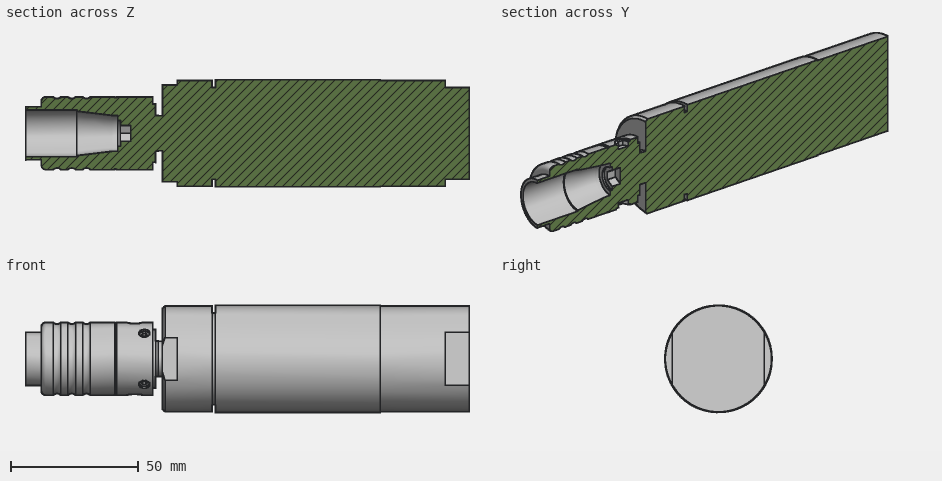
import cadquery as cq
import math

SLEEVE_START = 6.0
RIB_ZONE_END = 25.3
JOINT_START = 34.8
JOINT_FLOOR_WIDTH = 0.5
JOINT_BEVEL = 0.3
SLEEVE_END = 49.75
SHOULDER_END = 50.8
NECK_STEP = 51.8
HEAD_START = 53.5
HEAD_END = 72.9
BODY_START = 74.2
BODY_END = 138.7
TOTAL_LENGTH = 173.5

NOSE_DIAMETER = 21.0
SLEEVE_DIAMETER = 28.6
RIB_GROOVE_DIAMETER = 27.3
SHOULDER_DIAMETER = 23.0
NECK_FRONT_DIAMETER = 14.0
NECK_REAR_DIAMETER = 13.9
HEAD_DIAMETER = 41.5
TAIL_DIAMETER = 41.5
UNDERCUT_DIAMETER = 36.0
BODY_DIAMETER = 42.0

SLEEVE_ROUND = 2.0
HEAD_CHAMFER = 1.0

CUT_CLEARANCE = 1.0

RIB_GROOVE_COUNT = 3
RIB_GROOVE_WIDTH = 3.05
RIB_GROOVE_PITCH = 5.75

HEAD_FLAT_WIDTH = 38.0
HEAD_FLAT_LENGTH = 5.7
TAIL_FLAT_WIDTH = 36.0
TAIL_FLAT_LENGTH = 9.4

BORE_MOUTH_DIAMETER = 18.2
BORE_FLOOR_DIAMETER = 13.9
BORE_TAPER_DIAMETER = 17.3
BORE_STRAIGHT_LENGTH = 20.0
BORE_TAPER_END = 34.0
BORE_DEPTH = 36.0
RECESS_DIAMETER = 10.0
RECESS_DEPTH = 1.0
SOCKET_ACROSS_FLATS = 6.0
SOCKET_DEPTH = 4.0
SOCKET_TURN = 30

SET_SCREW_X = 46.4
SET_SCREW_DIAMETER = 4.2
SET_SCREW_DEPTH = 1.2
SET_SCREW_SOCKET_ACROSS_FLATS = 2.0
SET_SCREW_SOCKET_DEPTH = 1.5
SET_SCREW_ANGLES = (45, 135, 225, 315)

CLAMP_SCREW_X = 42.6
CLAMP_SCREW_DIAMETER = 6.8
CLAMP_SCREW_DEPTH = 0.5
CLAMP_SOCKET_ACROSS_FLATS = 4.0
CLAMP_SOCKET_DEPTH = 2.0
CLAMP_SCREW_ANGLES = (0, 180)


def cylinder(start, end, diameter):
    """Round section on the X axis between two stations."""
    return cq.Workplane("YZ").workplane(offset=start).circle(diameter / 2).extrude(end - start)


def hexagon_corners(across_flats):
    """Diameter of the circle through the corners of a hexagon."""
    return across_flats / math.cos(math.pi / 6)


def turned_body():
    """All round sections, from the nose tube to the tail."""
    sleeve = cylinder(SLEEVE_START, SLEEVE_END, SLEEVE_DIAMETER).faces("<X").edges().fillet(SLEEVE_ROUND)
    head = cylinder(HEAD_START, HEAD_END, HEAD_DIAMETER).faces("<X").edges().chamfer(HEAD_CHAMFER)
    return (
        cylinder(0, SLEEVE_START, NOSE_DIAMETER)
        .union(sleeve)
        .union(cylinder(SLEEVE_END, SHOULDER_END, SHOULDER_DIAMETER))
        .union(cylinder(SHOULDER_END, NECK_STEP, NECK_FRONT_DIAMETER))
        .union(cylinder(NECK_STEP, HEAD_START, NECK_REAR_DIAMETER))
        .union(head)
        .union(cylinder(HEAD_END, BODY_START, UNDERCUT_DIAMETER))
        .union(cylinder(BODY_START, BODY_END, BODY_DIAMETER))
        .union(cylinder(BODY_END, TOTAL_LENGTH, TAIL_DIAMETER))
    )


def rib_groove(end):
    """Ring with a concave arc floor that ends at the given station."""
    start = end - RIB_GROOVE_WIDTH
    rim = SLEEVE_DIAMETER / 2
    clear = rim + CUT_CLEARANCE
    return (
        cq.Workplane("XY")
        .moveTo(start, clear)
        .lineTo(start, rim)
        .threePointArc(((start + end) / 2, RIB_GROOVE_DIAMETER / 2), (end, rim))
        .lineTo(end, clear)
        .close()
        .revolve(360, (0, 0, 0), (1, 0, 0))
    )


def joint_groove():
    """Narrow ring groove at the sleeve joint, square in front and bevelled behind."""
    rim = SLEEVE_DIAMETER / 2
    floor = rim - JOINT_BEVEL
    clear = rim + CUT_CLEARANCE
    floor_end = JOINT_START + JOINT_FLOOR_WIDTH
    bevel_end = floor_end + JOINT_BEVEL
    return (
        cq.Workplane("XY")
        .moveTo(JOINT_START, clear)
        .lineTo(JOINT_START, floor)
        .lineTo(floor_end, floor)
        .lineTo(bevel_end, rim)
        .lineTo(bevel_end, clear)
        .close()
        .revolve(360, (0, 0, 0), (1, 0, 0))
    )


def flats(start, length, width):
    """Material outside two parallel flats facing +Y and -Y."""
    offcut = cq.Workplane("XY").box(length, BODY_DIAMETER, BODY_DIAMETER, centered=(False, False, True))
    right = offcut.translate((start, width / 2, 0))
    return right.union(right.mirror("XZ"))


def nose_bore():
    """Straight, tapered and straight again bore with a round recess and a hexagon socket in its floor."""
    straight = cylinder(0, BORE_STRAIGHT_LENGTH, BORE_MOUTH_DIAMETER)
    taper = (
        cq.Workplane("YZ")
        .workplane(offset=BORE_STRAIGHT_LENGTH)
        .circle(BORE_TAPER_DIAMETER / 2)
        .workplane(offset=BORE_TAPER_END - BORE_STRAIGHT_LENGTH)
        .circle(BORE_FLOOR_DIAMETER / 2)
        .loft(ruled=True)
    )
    tail = cylinder(BORE_TAPER_END, BORE_DEPTH, BORE_FLOOR_DIAMETER)
    recess_floor = BORE_DEPTH + RECESS_DEPTH
    recess = cylinder(BORE_DEPTH, recess_floor, RECESS_DIAMETER)
    socket = (
        cq.Workplane("YZ")
        .workplane(offset=recess_floor)
        .polygon(6, hexagon_corners(SOCKET_ACROSS_FLATS))
        .extrude(SOCKET_DEPTH)
        .rotate((0, 0, 0), (1, 0, 0), SOCKET_TURN)
    )
    return straight.union(taper).union(tail).union(recess).union(socket)


def socket_screw(station, angle, diameter, depth, across_flats, socket_depth):
    """Round hole from the sleeve surface with a hexagon socket in its floor."""
    floor = SLEEVE_DIAMETER / 2 - depth
    hole = cq.Workplane("XY").workplane(offset=floor).circle(diameter / 2).extrude(depth + CUT_CLEARANCE)
    socket = (
        cq.Workplane("XY")
        .workplane(offset=floor)
        .polygon(6, hexagon_corners(across_flats))
        .extrude(-socket_depth)
    )
    return hole.union(socket).translate((station, 0, 0)).rotate((0, 0, 0), (1, 0, 0), angle)


result = turned_body()
for index in range(RIB_GROOVE_COUNT):
    result = result.cut(rib_groove(RIB_ZONE_END - index * RIB_GROOVE_PITCH))
result = result.cut(joint_groove())
result = result.cut(flats(HEAD_START, HEAD_FLAT_LENGTH, HEAD_FLAT_WIDTH))
result = result.cut(flats(TOTAL_LENGTH - TAIL_FLAT_LENGTH, TAIL_FLAT_LENGTH, TAIL_FLAT_WIDTH))
result = result.cut(nose_bore())
for angle in SET_SCREW_ANGLES:
    result = result.cut(
        socket_screw(
            SET_SCREW_X,
            angle,
            SET_SCREW_DIAMETER,
            SET_SCREW_DEPTH,
            SET_SCREW_SOCKET_ACROSS_FLATS,
            SET_SCREW_SOCKET_DEPTH,
        )
    )
for angle in CLAMP_SCREW_ANGLES:
    result = result.cut(
        socket_screw(
            CLAMP_SCREW_X,
            angle,
            CLAMP_SCREW_DIAMETER,
            CLAMP_SCREW_DEPTH,
            CLAMP_SOCKET_ACROSS_FLATS,
            CLAMP_SOCKET_DEPTH,
        )
    )